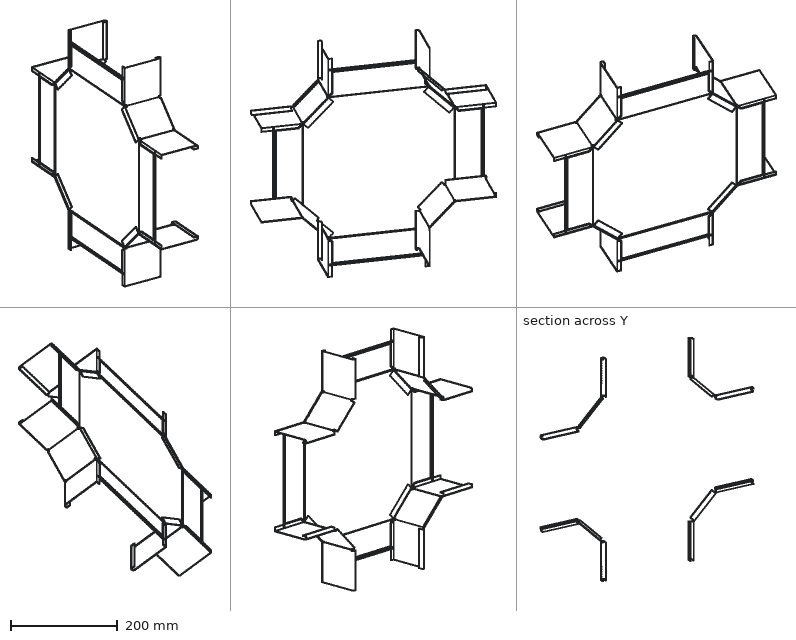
import cadquery as cq
import math

ARMS = 4
QUARTER_TURN = 360 / ARMS

span = 454.0
depth = 82.0
sheet = 1.25
half_span = span / 2
arm_half_width = 98.5
corner_reach = 147.5
bend_angle = 45

arm_flange = 8.0
diagonal_flange = 15.5
rim_width = 7.5
diagonal_rim_width = 6.0
rim_bend = 4.5
lip_bend = 2.3
lip_depth = 9.5
rim_setback = 2.0
relief_radius = 1.6
front_relief_y = 3.5
rear_relief_y = depth - rim_bend
mitre_relief_radius = 2.3

gap = 1.5
tongue_end = 204.5
tongue_half_width = 95.5
step_start = 199.0
step_end = 201.5

wall_bends = [
    (arm_half_width, half_span),
    (arm_half_width, corner_reach),
    (corner_reach, arm_half_width),
    (half_span, arm_half_width),
]

upper_mitre = (arm_half_width - mitre_relief_radius, corner_reach + mitre_relief_radius)
lower_mitre = (corner_reach + mitre_relief_radius, arm_half_width - mitre_relief_radius)


def spin(solid, index):
    return solid.rotate((0, 0, 0), (0, 1, 0), index * QUARTER_TURN)


def plate(points, thickness):
    """A flat XZ outline thickened from Y = 0 toward +Y."""
    return cq.Workplane("XZ").polyline(points).close().extrude(-thickness)


def bent_sheet():
    """The upright part of a corner wall: arm, diagonal and arm panels, up to the rim bend."""
    inner = arm_half_width - sheet
    inner_reach = corner_reach - sheet * math.tan(math.radians(bend_angle / 2))
    inner_bends = [(half_span, inner), (inner_reach, inner), (inner, inner_reach), (inner, half_span)]
    return plate(wall_bends + inner_bends, depth - rim_bend)


def quarter_arc(outline, centre, radius, side, end):
    """Continue an outline to `end` by the quarter arc bulging toward +Y and the given side."""
    offset = radius * math.sqrt(0.5)
    return outline.threePointArc((centre[0] + side * offset, centre[1] + offset), end)


def rim(start, end, start_setback, end_setback, has_lip):
    """The rear rim of one panel: a quarter bend inward, with a lip turned forward on arm panels."""
    along = cq.Vector(end[0] - start[0], 0, end[1] - start[1])
    length = along.Length - start_setback - end_setback
    along = along.normalized()
    origin = cq.Vector(start[0], 0, start[1]) + along * start_setback
    inward = cq.Vector(0, 1, 0).cross(along)
    rim_centre = (rim_bend, depth - rim_bend)
    lip_x = rim_width - lip_bend
    lip_centre = (lip_x, depth - lip_bend)

    outline = cq.Workplane(cq.Plane(origin, inward, along)).moveTo(0, rim_centre[1])
    outline = quarter_arc(outline, rim_centre, rim_bend, -1, (rim_bend, depth))
    if has_lip:
        outline = outline.lineTo(lip_x, depth)
        outline = quarter_arc(outline, lip_centre, lip_bend, 1, (rim_width, lip_centre[1]))
        outline = outline.lineTo(rim_width, depth - lip_depth)
        outline = outline.lineTo(rim_width - sheet, depth - lip_depth)
        outline = outline.lineTo(rim_width - sheet, lip_centre[1])
        outline = quarter_arc(outline, lip_centre, lip_bend - sheet, 1, (lip_x, depth - sheet))
    else:
        outline = outline.lineTo(diagonal_rim_width, depth).lineTo(diagonal_rim_width, depth - sheet)
    outline = outline.lineTo(rim_bend, depth - sheet)
    outline = quarter_arc(outline, rim_centre, rim_bend - sheet, -1, (sheet, rim_centre[1]))
    return outline.close().extrude(length)


def mitre_relief(x, z):
    """A round hole along Y through both layers of sheet."""
    return cq.Workplane("XZ").center(x, z).circle(mitre_relief_radius).extrude(-2 * sheet)


def front_flanges():
    """Mitred flanges on both arm panels and a wider, square-ended one on the diagonal panel."""
    edge = arm_half_width - arm_flange
    mitre_reach = corner_reach + arm_flange
    inset = diagonal_flange * math.sqrt(0.5)
    upper_end, upper_bend, lower_bend, lower_end = wall_bends
    upper = plate([upper_end, upper_bend, (edge, mitre_reach), (edge, half_span)], sheet)
    lower = plate([lower_end, lower_bend, (mitre_reach, edge), (half_span, edge)], sheet)
    middle = plate(
        [
            upper_bend,
            lower_bend,
            (corner_reach - inset, arm_half_width - inset),
            (arm_half_width - inset, corner_reach - inset),
        ],
        sheet,
    )
    return upper.cut(mitre_relief(*upper_mitre)), lower.cut(mitre_relief(*lower_mitre)), middle


def bend_relief(bend, direction, y):
    """A round hole through the sheet on a bend line."""
    reach = 4 * sheet
    start = cq.Vector(bend[0], y, bend[1]) - direction * (reach / 2)
    return cq.Workplane(cq.Solid.makeCylinder(relief_radius, reach, start, direction))


def corner_wall():
    wall = bent_sheet()
    for flange in front_flanges():
        wall = wall.union(flange)
    upper_end, upper_bend, lower_bend, lower_end = wall_bends
    wall = wall.union(rim(upper_end, upper_bend, 0, rim_setback, True))
    wall = wall.union(rim(upper_bend, lower_bend, rim_setback, rim_setback, False))
    wall = wall.union(rim(lower_bend, lower_end, rim_setback, 0, True))
    for y in (front_relief_y, rear_relief_y):
        wall = wall.cut(bend_relief(upper_bend, cq.Vector(1, 0, 0), y))
        wall = wall.cut(bend_relief(lower_bend, cq.Vector(0, 0, 1), y))
    return wall.val()


def octagon():
    """The middle of the base, one sheet thickness back so that it rests on the diagonal flanges."""
    reach = corner_reach - sheet
    half_side = arm_half_width + corner_reach - (sheet + gap) * math.sqrt(2) - reach
    points = []
    for i in range(ARMS):
        angle = math.radians(i * QUARTER_TURN)
        for side in (-half_side, half_side):
            x = reach * math.cos(angle) - side * math.sin(angle)
            z = reach * math.sin(angle) + side * math.cos(angle)
            points.append((x, z))
    return plate(points, sheet).translate((0, sheet, 0))


def tongue():
    """The base in the +Z arm: stepped forward level with the flanges, stepped back at its end."""
    back = 2 * sheet
    side_profile = [
        (sheet, corner_reach - sheet),
        (0, corner_reach),
        (0, step_start),
        (sheet, step_end),
        (sheet, tongue_end),
        (back, tongue_end),
        (back, step_end),
        (sheet, step_start),
        (sheet, corner_reach),
        (back, corner_reach - sheet),
    ]
    body = cq.Workplane("YZ").polyline(side_profile).close().extrude(tongue_half_width, both=True)
    inner = arm_half_width - arm_flange - gap
    mitre_sum = arm_half_width + corner_reach - gap * math.sqrt(2)
    flange_notch = plate(
        [
            (inner, mitre_sum - inner),
            (tongue_half_width, mitre_sum - tongue_half_width),
            (tongue_half_width, step_end),
            (inner, step_end),
        ],
        back,
    )
    notch = flange_notch.union(mitre_relief(*upper_mitre))
    return body.cut(notch).cut(notch.mirror("YZ"))


def base_sheet():
    base = octagon()
    for i in range(ARMS):
        base = base.union(spin(tongue(), i))
    return base.val()


base = base_sheet()
walls = [spin(corner_wall(), i) for i in range(ARMS)]
result = cq.Compound.makeCompound([base, *walls])